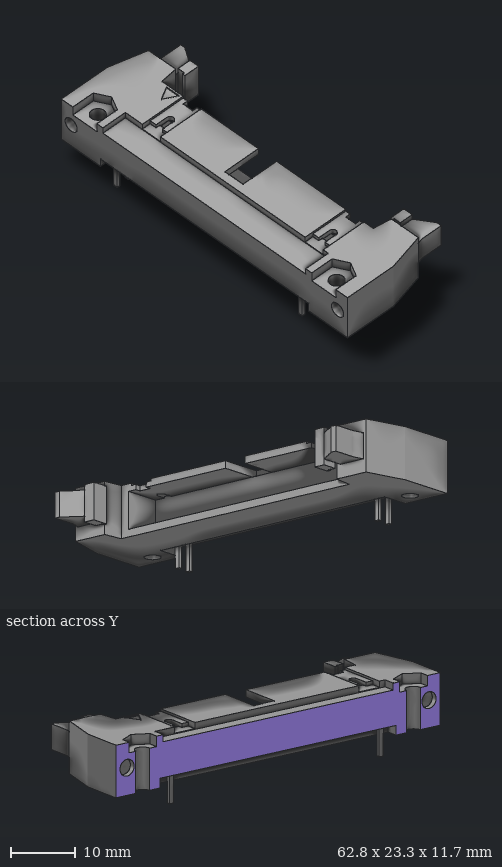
import cadquery as cq


length = 62.8
half_length = length / 2
height = 8.6
shroud_depth = 13.8
ear_depth = 17.3
ear_bend_y = 10.05
ear_outer_x = 29.6
ear_inner_x = 23.6
ear_root_x = 23.2

cavity_half_length = 21.65
cavity_back_y = 7.4
wall = 1.25
cavity_height = height - 2 * wall

step_half_length = 22.2
step_back_y = 4.9
step_drop = 1.1
relief_half_length = 22.8
relief_height = 1.6

key_width = 3.95
key_back_y = 6.45

bay_xs = (-16.5, 19.15)
bay_width = 3.95
bay_drop = 0.4
bay_rear_drop = 1.0
bay_rear_y = 6.6
slot_width = 1.4
slot_end_y = 9.7
edge_notch_width = 2.1
edge_notch_back_y = 12.9

mark_x = -20.4
mark_width = 2.75
mark_base_y = 13.45
mark_tip_y = 10.9
mark_drop = 0.2

hole_diameter = 2.65
mount_x = 26.2
mount_y = 2.8
pocket_width = 5.3
pocket_side_y = 4.45
pocket_peak_y = 5.85
pocket_drop = 1.7
rear_hole_x = 29.2
rear_hole_z = 4.5
rear_hole_depth = 3.75

lever_tip_y = 23.3
lever_tip_inner_x = 27.65
lever_outer_x = 28.6
lever_inner_x = 24.35
lever_flare_x = 29.0
lever_flare_y = 19.1
lever_z = 4.35
lever_thickness = 4.2
hook_back_y = 21.15
hook_front_y = 18.5
hook_end_x = 22.5
hook_height = 6.1
lip_y = 18.15
lip_x = 23.05

pin_x = 20.3
pin_ys = (1.05, 3.6)
pin_width_x = 0.8
pin_width_y = 0.6
pin_drop = 3.1


def box(x_min, x_max, y_min, y_max, z_min, z_max):
    size = (x_max - x_min, y_max - y_min, z_max - z_min)
    return cq.Workplane("XY").box(*size, centered=False).translate((x_min, y_min, z_min))


def prism(points, z_min, z_max):
    return cq.Workplane("XY").workplane(offset=z_min).polyline(points).close().extrude(z_max - z_min)


def make_housing():
    right_side = [
        (half_length, 0),
        (half_length, ear_bend_y),
        (ear_outer_x, ear_depth),
        (ear_inner_x, ear_depth),
        (ear_root_x, shroud_depth),
    ]
    left_side = [(-x, y) for x, y in reversed(right_side)]
    body = prism(right_side + left_side, 0, height)
    cavity = box(
        -cavity_half_length, cavity_half_length, cavity_back_y, shroud_depth, wall, wall + cavity_height
    )
    step = box(-step_half_length, step_half_length, 0, step_back_y, height - step_drop, height)
    relief = box(-relief_half_length, relief_half_length, 0, step_back_y, 0, relief_height)
    key = box(-key_width / 2, key_width / 2, key_back_y, shroud_depth, height - wall, height)
    return body.cut(cavity).cut(step).cut(relief).cut(key)


def make_bay_cut(x):
    left = x - bay_width / 2
    right = x + bay_width / 2
    floor = height - wall
    shallow = box(left, right, step_back_y, shroud_depth, height - bay_drop, height)
    rear = box(left, right, step_back_y, bay_rear_y, height - bay_rear_drop, height)
    radius = slot_width / 2
    slot_entry = box(x - radius, x + radius, bay_rear_y, cavity_back_y, height - bay_rear_drop, height)
    arc_start_y = slot_end_y - radius
    slot = (
        cq.Workplane("XY")
        .workplane(offset=floor)
        .moveTo(x - radius, cavity_back_y)
        .lineTo(x + radius, cavity_back_y)
        .lineTo(x + radius, arc_start_y)
        .threePointArc((x, slot_end_y), (x - radius, arc_start_y))
        .close()
        .extrude(wall)
    )
    edge_half = edge_notch_width / 2
    edge_notch = box(x - edge_half, x + edge_half, edge_notch_back_y, shroud_depth, floor, height)
    return shallow.union(rear).union(slot_entry).union(slot).union(edge_notch)


def make_mount_cut(x):
    left = x - pocket_width / 2
    right = x + pocket_width / 2
    outline = [(left, 0), (right, 0), (right, pocket_side_y), (x, pocket_peak_y), (left, pocket_side_y)]
    pocket = prism(outline, height - pocket_drop, height)
    hole = cq.Workplane("XY").center(x, mount_y).circle(hole_diameter / 2).extrude(height)
    return pocket.union(hole)


def make_rear_hole(x):
    profile = cq.Workplane("XZ").center(x, rear_hole_z).circle(hole_diameter / 2)
    return profile.extrude(-rear_hole_depth)


def make_pin_one_mark():
    outline = [
        (mark_x - mark_width / 2, mark_base_y),
        (mark_x + mark_width / 2, mark_base_y),
        (mark_x, mark_tip_y),
    ]
    return prism(outline, height - mark_drop, height)


def make_lever(side):
    """Lever on the +X end (side = 1) or the -X end (side = -1)."""
    arm_outline = [
        (lever_inner_x, ear_depth),
        (lever_flare_x, ear_depth),
        (lever_outer_x, lever_flare_y),
        (lever_outer_x, lever_tip_y),
        (lever_tip_inner_x, lever_tip_y),
        (lever_inner_x, hook_back_y),
    ]
    hook_outline = [
        (lever_inner_x, hook_back_y),
        (hook_end_x, hook_back_y),
        (hook_end_x, lip_y),
        (lip_x, lip_y),
        (lip_x, hook_front_y),
        (lever_inner_x, hook_front_y),
    ]

    def lever_piece(outline, thickness):
        points = [(side * x, y) for x, y in outline]
        return prism(points, lever_z - thickness / 2, lever_z + thickness / 2)

    return lever_piece(arm_outline, lever_thickness).union(lever_piece(hook_outline, hook_height))


def make_pin(x, y):
    half_x = pin_width_x / 2
    half_y = pin_width_y / 2
    return box(x - half_x, x + half_x, y - half_y, y + half_y, -pin_drop, relief_height)


result = make_housing().cut(make_pin_one_mark())
for bay_x in bay_xs:
    result = result.cut(make_bay_cut(bay_x))
for side in (-1, 1):
    result = result.cut(make_mount_cut(side * mount_x))
    result = result.cut(make_rear_hole(side * rear_hole_x))
    result = result.union(make_lever(side))
    for pin_y in pin_ys:
        result = result.union(make_pin(side * pin_x, pin_y))